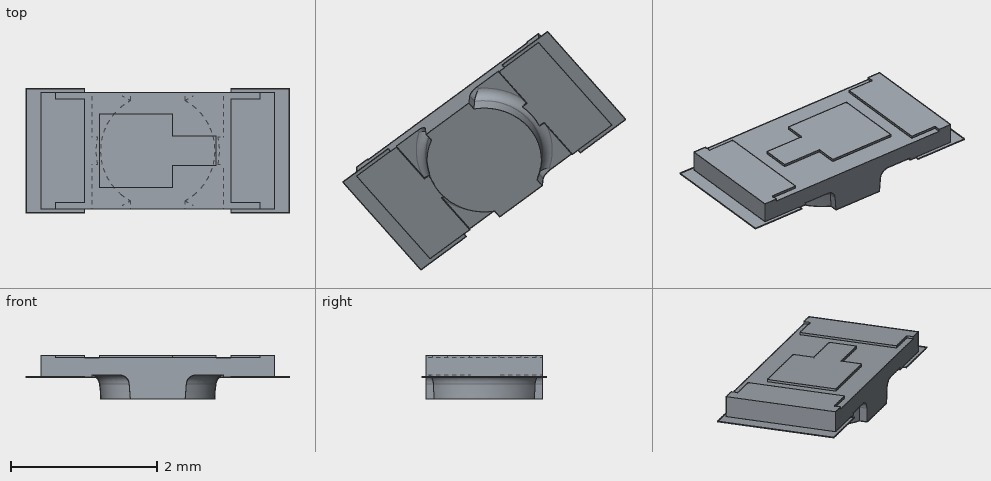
import cadquery as cq
import math

boss_height = 0.3
total_height = 0.6
pad_thickness = 0.032
recess_depth = pad_thickness
foil_thickness = 0.01
body_top = total_height - pad_thickness
recess_floor = boss_height + recess_depth

body_length = 3.195
body_width = 1.6
foil_span = 3.6
foil_width = 1.7
foil_length = 0.8
foil_inner_x = foil_span / 2 - foil_length
recess_length = 1.8
recess_width = 0.612

notch_inset = 0.198
notch_depth = 0.095
center_pad_size = 1.0
center_pad_start = -0.8
neck_end = 0.8
neck_width = 0.4

disc_tip_radius = 0.78
bar_tip_half_width = 0.375
draft = math.radians(4.5)
root_fillet = 0.135


def block(x_min, x_max, width, z_min, z_max):
    """Box between two X and two Z limits, centred on Y."""
    return (
        cq.Workplane("XY")
        .box(x_max - x_min, width, z_max - z_min, centered=(False, True, False))
        .translate((x_min, 0, z_min))
    )


def boss_half_profile(tip_half_width):
    """Drafted wall in XZ that flares through a root fillet into the recess floor."""
    center_z = recess_floor - root_fillet
    center_x = tip_half_width + center_z * math.tan(draft) + root_fillet / math.cos(draft)

    def fillet_point(angle):
        return (center_x - root_fillet * math.cos(angle), center_z + root_fillet * math.sin(angle))

    middle_angle = (draft + math.pi / 2) / 2
    return (
        cq.Workplane("XZ")
        .moveTo(0, 0)
        .lineTo(tip_half_width, 0)
        .lineTo(*fillet_point(draft))
        .threePointArc(fillet_point(middle_angle), fillet_point(math.pi / 2))
        .lineTo(center_x, body_top)
        .lineTo(0, body_top)
        .close()
    )


def make_boss():
    disc = boss_half_profile(disc_tip_radius).revolve(360, (0, 0, 0), (0, 1, 0))
    half_bar = boss_half_profile(bar_tip_half_width).extrude(body_width / 2, both=True)
    boss = disc.union(half_bar).union(half_bar.mirror("YZ"))
    envelope = block(-body_length / 2, body_length / 2, body_width, 0, body_top)
    return boss.intersect(envelope)


def make_body():
    body = block(-body_length / 2, body_length / 2, body_width, boss_height, body_top)
    recess = block(-recess_length / 2, recess_length / 2, recess_width, boss_height, recess_floor)
    recess_y = (body_width - recess_width) / 2
    for side in (-1, 1):
        body = body.cut(recess.translate((0, side * recess_y, 0)))
    return body


def make_end_terminal():
    """Bottom foil and notched top pad at the +X end."""
    foil = block(foil_inner_x, foil_span / 2, foil_width, boss_height, boss_height + foil_thickness)
    notch_x = body_length / 2 - notch_inset
    pad_end = block(notch_x, body_length / 2, body_width, body_top, total_height)
    pad_width = body_width - 2 * notch_depth
    pad = block(foil_inner_x, notch_x, pad_width, body_top, total_height)
    return [foil, pad_end, pad]


def make_center_pad():
    square_end = center_pad_start + center_pad_size
    square = block(center_pad_start, square_end, center_pad_size, body_top, total_height)
    neck = block(square_end, neck_end, neck_width, body_top, total_height)
    return square.union(neck)


result = make_body().union(make_boss()).union(make_center_pad())
for piece in make_end_terminal():
    result = result.union(piece).union(piece.mirror("YZ"))